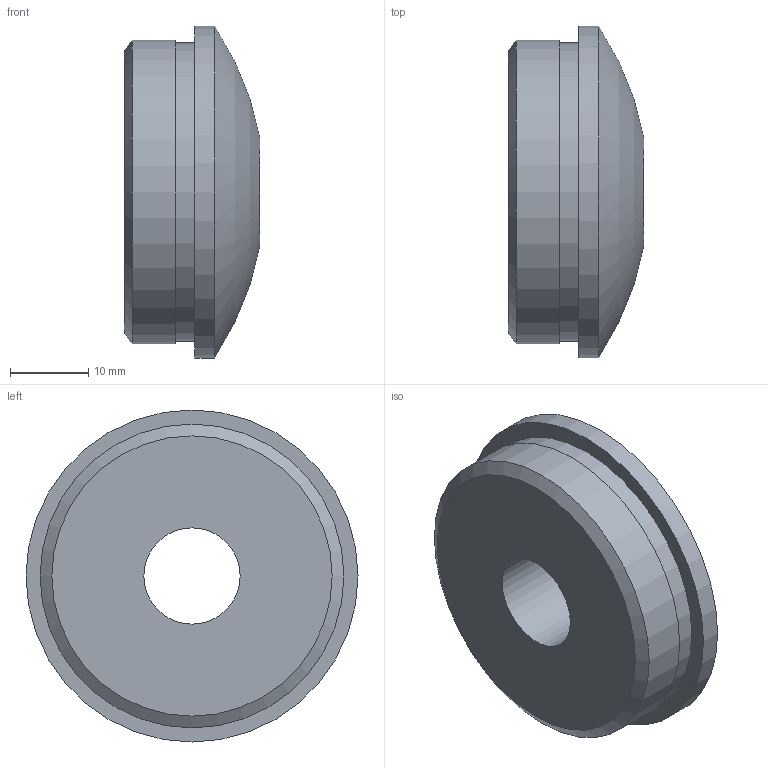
import cadquery as cq
import math

flange_radius = 21.2
body_radius = 19.4
groove_radius = 19.1
bore_radius = 6.15
crown_flat_radius = 6.9

groove_start = 6.5
flange_start = 9.0
dome_start = 11.55
total_length = 17.3

chamfer_length = 1.0
chamfer_depth = 1.5


def dome_midpoint():
    """Point halfway round the dome arc, whose sphere is centred on the X axis."""
    dome_height = total_length - dome_start
    center_x = dome_start + (
        dome_height**2 + crown_flat_radius**2 - flange_radius**2
    ) / (2 * dome_height)
    sphere_radius = math.hypot(total_length - center_x, crown_flat_radius)
    rim_angle = math.atan2(flange_radius, dome_start - center_x)
    crown_angle = math.atan2(crown_flat_radius, total_length - center_x)
    middle_angle = (rim_angle + crown_angle) / 2
    return (
        center_x + sphere_radius * math.cos(middle_angle),
        sphere_radius * math.sin(middle_angle),
    )


def turned_plug():
    """Half section of the plug, revolved about the X axis."""
    section = (
        cq.Workplane("XY")
        .moveTo(0, bore_radius)
        .lineTo(0, body_radius - chamfer_depth)
        .lineTo(chamfer_length, body_radius)
        .lineTo(groove_start, body_radius)
        .lineTo(groove_start, groove_radius)
        .lineTo(flange_start, groove_radius)
        .lineTo(flange_start, flange_radius)
        .lineTo(dome_start, flange_radius)
        .threePointArc(dome_midpoint(), (total_length, crown_flat_radius))
        .lineTo(total_length, bore_radius)
        .close()
    )
    return section.revolve(360, (0, 0, 0), (1, 0, 0))


result = turned_plug()